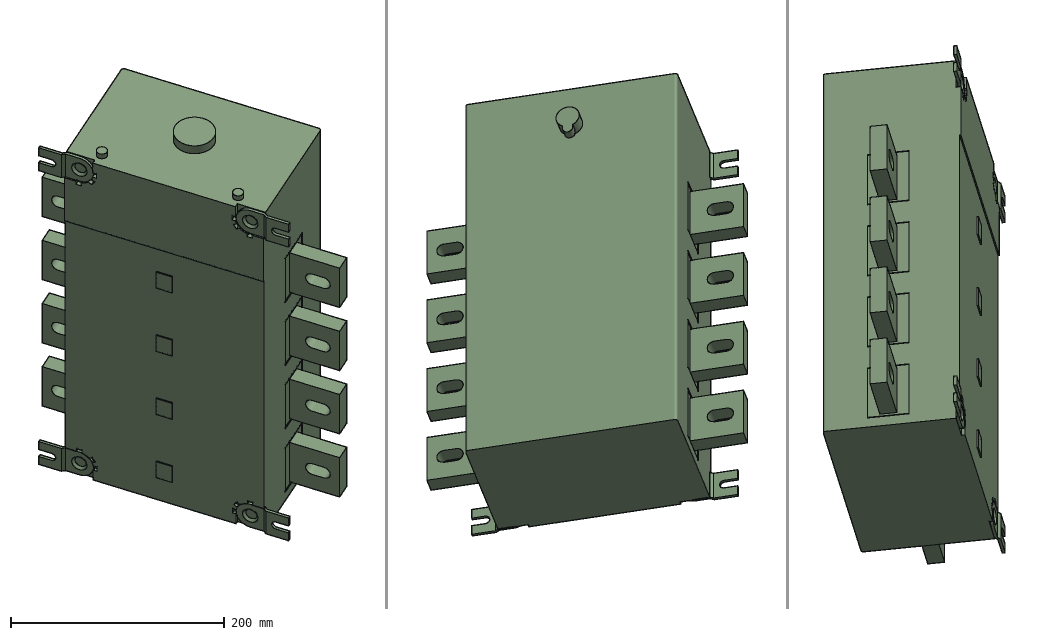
import cadquery as cq

BODY_WIDTH = 204.8
BODY_DEPTH = 130.0
BODY_HEIGHT = 404.5
BODY_EDGE_RADIUS = 3.0
HALF_WIDTH = BODY_WIDTH / 2

PANEL_BOTTOM = 320.0
PANEL_RAISE = 1.2

POLE_COUNT = 4
FIRST_POLE_HEIGHT = 39.0
POLE_PITCH = 80.5
POLE_HEIGHTS = [FIRST_POLE_HEIGHT + POLE_PITCH * i for i in range(POLE_COUNT)]

BAR_SPAN = 306.0
BAR_THICKNESS = 16.0
BAR_HEIGHT = 50.0
BAR_CENTRE_DEPTH = 68.0
BAR_SLOT_CENTRE_X = 130.5
BAR_SLOT_LENGTH = 25.3
BAR_SLOT_HEIGHT = 13.5
POCKET_WIDTH = 39.5
POCKET_HEIGHT = 56.0
POCKET_DEPTH = 1.0

PAD_WIDTH = 16.5
PAD_HEIGHT = 20.5
PAD_RAISE = PANEL_RAISE

SHAFT_BOSS_DIAMETER = 39.8
SHAFT_BOSS_HEIGHT = 10.0
PIN_DIAMETER = 10.5
PIN_HEIGHT = 6.0
PIN_OFFSET_X = 70.0
PIN_DEPTH = 12.5

KNOB_DIAMETER = 22.5
KNOB_LENGTH = 13.5
KNOB_CENTRE_HEIGHT = 362.3
POINTER_WIDTH = 10.0
POINTER_REACH = 18.0
POINTER_THICKNESS = 9.5

BRACKET_HEIGHT = 29
BRACKET_THICKNESS = 3.0
BRACKET_TIP_X = 128.5
BRACKET_EDGE_GAP = 1.0
BRACKET_FRONT = 0.5
ARM_FRONT = -2.0
JOG_INNER_X = 102.0
JOG_OUTER_X = 105.3
SCREW_X = 88.0
SCREW_OUTER_DIAMETER = 15.8
SCREW_INNER_DIAMETER = 11.5
ARM_SLOT_WIDTH = 8.5
ARM_SLOT_END_X = 111.0
LUG_RADIUS = BRACKET_HEIGHT / 2
BRACKET_CENTRE_OFFSET = BRACKET_EDGE_GAP + LUG_RADIUS

RECESS_DEPTH = BRACKET_FRONT + BRACKET_THICKNESS
NOTCH_REACH = 18.2
NOTCH_WIDTH = 5.5
NOTCH_ANGLES = (0, 35, 90)


def corner_box(x_min, x_max, y_min, y_max, z_min, z_max):
    """Axis-aligned box between the given limits."""
    size = (x_max - x_min, y_max - y_min, z_max - z_min)
    return cq.Workplane("XY").box(*size, centered=False).translate((x_min, y_min, z_min))


def centred_box(size, centre):
    """Axis-aligned box about a centre point."""
    return cq.Workplane("XY").box(*size).translate(centre)


def rod_along_y(radius, y_start, y_end, x, z):
    """Cylinder parallel to Y."""
    start = cq.Vector(x, y_start, z)
    return cq.Workplane(cq.Solid.makeCylinder(radius, y_end - y_start, start, cq.Vector(0, 1, 0)))


def make_body():
    """Enclosure with rounded back edges and the raised upper front panel."""
    body = corner_box(-HALF_WIDTH, HALF_WIDTH, 0, BODY_DEPTH, 0, BODY_HEIGHT)
    body = body.edges("|Z and >Y").fillet(BODY_EDGE_RADIUS)
    panel = corner_box(-HALF_WIDTH, HALF_WIDTH, -PANEL_RAISE, BODY_DEPTH / 2, PANEL_BOTTOM, BODY_HEIGHT)
    return body.union(panel)


def add_pole(body, height):
    """Pocketed terminal bars on both sides and the pad on the front, at one height."""
    for side in (-1, 1):
        pocket_size = (2 * POCKET_DEPTH, POCKET_WIDTH, POCKET_HEIGHT)
        body = body.cut(centred_box(pocket_size, (side * HALF_WIDTH, BAR_CENTRE_DEPTH, height)))
    bar = centred_box((BAR_SPAN, BAR_THICKNESS, BAR_HEIGHT), (0, BAR_CENTRE_DEPTH, height))
    slots = (
        cq.Workplane("XZ", origin=(0, BAR_CENTRE_DEPTH, height))
        .pushPoints([(-BAR_SLOT_CENTRE_X, 0), (BAR_SLOT_CENTRE_X, 0)])
        .slot2D(BAR_SLOT_LENGTH, BAR_SLOT_HEIGHT)
        .extrude(BAR_THICKNESS, both=True)
    )
    pad = centred_box((PAD_WIDTH, 2 * PAD_RAISE, PAD_HEIGHT), (0, 0, height))
    return body.union(bar.cut(slots)).union(pad)


def make_top_bosses():
    """Shaft boss and two small pins on the top face."""
    top = cq.Workplane("XY", origin=(0, 0, BODY_HEIGHT))
    boss = top.center(0, BAR_CENTRE_DEPTH).circle(SHAFT_BOSS_DIAMETER / 2).extrude(SHAFT_BOSS_HEIGHT)
    pins = (
        top.pushPoints([(-PIN_OFFSET_X, PIN_DEPTH), (PIN_OFFSET_X, PIN_DEPTH)])
        .circle(PIN_DIAMETER / 2)
        .extrude(PIN_HEIGHT)
    )
    return boss.union(pins)


def make_knob():
    """Back knob with a round-ended pointer hanging below it."""
    knob_end = BODY_DEPTH + KNOB_LENGTH
    knob = rod_along_y(KNOB_DIAMETER / 2, BODY_DEPTH, knob_end, 0, KNOB_CENTRE_HEIGHT)
    half = POINTER_WIDTH / 2
    tip_centre = KNOB_CENTRE_HEIGHT - POINTER_REACH + half
    pointer_start = knob_end - POINTER_THICKNESS
    stem = corner_box(-half, half, pointer_start, knob_end, tip_centre, KNOB_CENTRE_HEIGHT)
    tip = rod_along_y(half, pointer_start, knob_end, 0, tip_centre)
    return knob.union(stem).union(tip)


def make_recess():
    """Cutter for the recess at the lower +X front corner."""
    z = BRACKET_CENTRE_OFFSET
    front = -2 * PANEL_RAISE
    recess = rod_along_y(LUG_RADIUS, front, RECESS_DEPTH, SCREW_X, z)
    recess = recess.union(corner_box(SCREW_X, HALF_WIDTH, front, RECESS_DEPTH, 0, z + LUG_RADIUS))
    recess = recess.union(corner_box(SCREW_X - LUG_RADIUS, HALF_WIDTH, front, RECESS_DEPTH, 0, z))
    notch = corner_box(-NOTCH_REACH, 0, front, RECESS_DEPTH, -NOTCH_WIDTH / 2, NOTCH_WIDTH / 2)
    for angle in NOTCH_ANGLES:
        turned = notch.rotate((0, 0, 0), (0, 1, 0), angle)
        recess = recess.union(turned.translate((SCREW_X, 0, z)))
    return recess


def make_bracket():
    """Jogged plate with a round lug, countersunk hole and open slot, at the lower +X corner."""
    z = BRACKET_CENTRE_OFFSET
    lug_tip_x = SCREW_X - LUG_RADIUS
    arm_back = ARM_FRONT + BRACKET_THICKNESS
    profile = [
        (lug_tip_x, BRACKET_FRONT),
        (JOG_INNER_X, BRACKET_FRONT),
        (JOG_OUTER_X, ARM_FRONT),
        (BRACKET_TIP_X, ARM_FRONT),
        (BRACKET_TIP_X, arm_back),
        (JOG_OUTER_X, arm_back),
        (JOG_INNER_X, RECESS_DEPTH),
        (lug_tip_x, RECESS_DEPTH),
    ]
    strip_bottom = cq.Workplane("XY", origin=(0, 0, BRACKET_EDGE_GAP))
    strip = strip_bottom.polyline(profile).close().extrude(BRACKET_HEIGHT)

    outline = rod_along_y(LUG_RADIUS, ARM_FRONT, RECESS_DEPTH, SCREW_X, z)
    outline = outline.union(
        corner_box(SCREW_X, BRACKET_TIP_X, ARM_FRONT, RECESS_DEPTH, z - LUG_RADIUS, z + LUG_RADIUS)
    )
    plate = strip.intersect(outline)

    slot_radius = ARM_SLOT_WIDTH / 2
    slot_centre_x = ARM_SLOT_END_X + slot_radius
    slot = rod_along_y(slot_radius, ARM_FRONT, RECESS_DEPTH, slot_centre_x, z)
    slot = slot.union(
        corner_box(slot_centre_x, BRACKET_TIP_X, ARM_FRONT, RECESS_DEPTH, z - slot_radius, z + slot_radius)
    )
    countersink = cq.Solid.makeCone(
        SCREW_OUTER_DIAMETER / 2,
        SCREW_INNER_DIAMETER / 2,
        BRACKET_THICKNESS,
        cq.Vector(SCREW_X, BRACKET_FRONT, z),
        cq.Vector(0, 1, 0),
    )
    return plate.cut(slot).cut(cq.Workplane(countersink))


def at_four_corners(shape):
    """The given lower +X corner shape and its mirror images at the other three corners."""
    lower = [shape, shape.mirror("YZ")]
    upper = [s.mirror("XY", (0, 0, BODY_HEIGHT / 2)) for s in lower]
    return lower + upper


result = make_body()
for pole_height in POLE_HEIGHTS:
    result = add_pole(result, pole_height)
result = result.union(make_top_bosses()).union(make_knob())
for recess_cutter in at_four_corners(make_recess()):
    result = result.cut(recess_cutter)
for bracket in at_four_corners(make_bracket()):
    result = result.union(bracket)